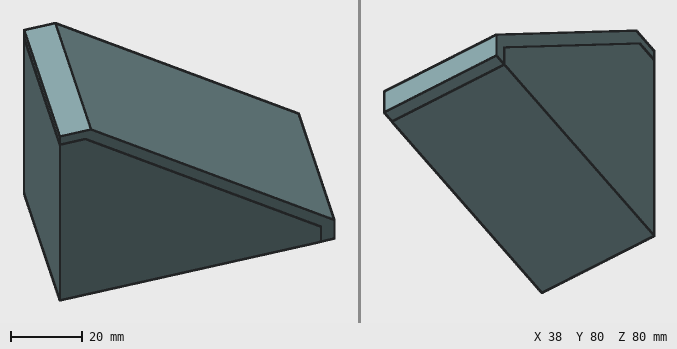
import cadquery as cq
import math

width = 38.0
depth = 80.0
height = 80.0

cover_thickness = 4.0
cover_end_flat = 9.1
cover_setback = 0.05

front = -depth / 2
back = depth / 2
body_back = back - cover_thickness
body_top = height - cover_thickness
body_end_flat = cover_end_flat + cover_thickness * (1 - math.sqrt(2))


def extrude_profile(points, thickness):
    """Extrude a (Y, Z) outline to a thickness along X, centred on X."""
    return cq.Workplane("YZ").polyline(points).close().extrude(thickness / 2, both=True)


body = extrude_profile([
    (front, 0),
    (body_back, 0),
    (body_back, body_end_flat),
    (front + body_end_flat, body_top),
    (front, body_top),
], width)

cover = extrude_profile([
    (front + cover_setback, cover_setback),
    (back, cover_setback),
    (back, cover_end_flat),
    (front + cover_end_flat, height),
    (front + cover_setback, height),
], width - 2 * cover_setback)

result = body.union(cover)